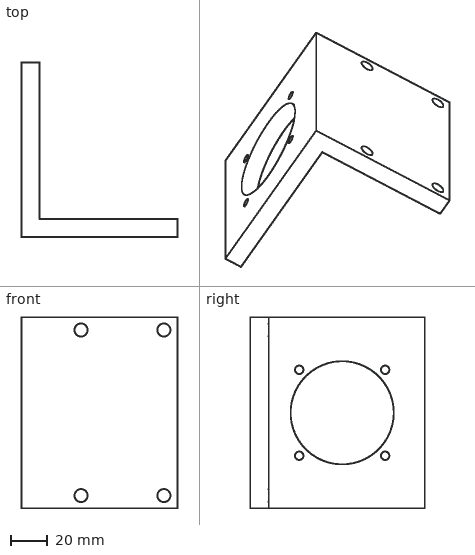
import cadquery as cq

width = 85.0
depth = 95.0
height = 104.0
thickness = 10.0

mount_hole_diameter = 7.0
mount_spacing_x = 45.0
mount_spacing_z = 90.0
mount_edge_distance = 7.5
mount_center_x = width - mount_edge_distance - mount_spacing_x / 2

bore_diameter = 56.0
bore_center_y = 50.0
bolt_hole_diameter = 4.5
bolt_circle_diameter = 66.0
bolt_count = 4
first_bolt_angle = 45

mid_height = height / 2


def make_bracket():
    """Two plates meeting at a corner on the Z axis."""
    mounting_plate = cq.Workplane("XY").box(width, thickness, height, centered=False)
    flange_plate = cq.Workplane("XY").box(thickness, depth, height, centered=False)
    return mounting_plate.union(flange_plate)


def make_mount_holes():
    """Rectangular pattern of cylinders through the mounting plate."""
    return (
        cq.Workplane("XZ", origin=(mount_center_x, 0, mid_height))
        .rarray(mount_spacing_x, mount_spacing_z, 2, 2)
        .circle(mount_hole_diameter / 2)
        .extrude(-thickness)
    )


def make_flange_openings():
    """Large bore and surrounding bolt holes through the flange plate."""
    plane = cq.Workplane("YZ", origin=(0, bore_center_y, mid_height))
    bore = plane.circle(bore_diameter / 2).extrude(thickness)
    bolts = (
        plane.polarArray(bolt_circle_diameter / 2, first_bolt_angle, 360, bolt_count)
        .circle(bolt_hole_diameter / 2)
        .extrude(thickness)
    )
    return bore.union(bolts)


result = make_bracket().cut(make_mount_holes()).cut(make_flange_openings())